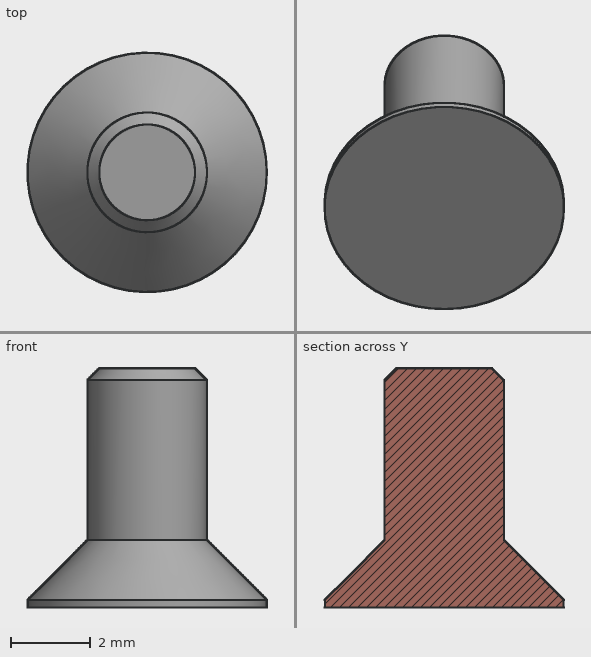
import cadquery as cq

total_height = 6.0
head_diameter = 6.0
shank_diameter = 3.0
rim_height = 0.2
tip_chamfer = 0.3

head_radius = head_diameter / 2
shank_radius = shank_diameter / 2
cone_height = head_radius - shank_radius
head_height = rim_height + cone_height

half_section = (
    cq.Workplane("XZ")
    .moveTo(0, 0)
    .lineTo(head_radius, 0)
    .lineTo(head_radius, rim_height)
    .lineTo(shank_radius, head_height)
    .lineTo(shank_radius, total_height - tip_chamfer)
    .lineTo(shank_radius - tip_chamfer, total_height)
    .lineTo(0, total_height)
    .close()
)

result = half_section.revolve(360, (0, 0, 0), (0, 1, 0))